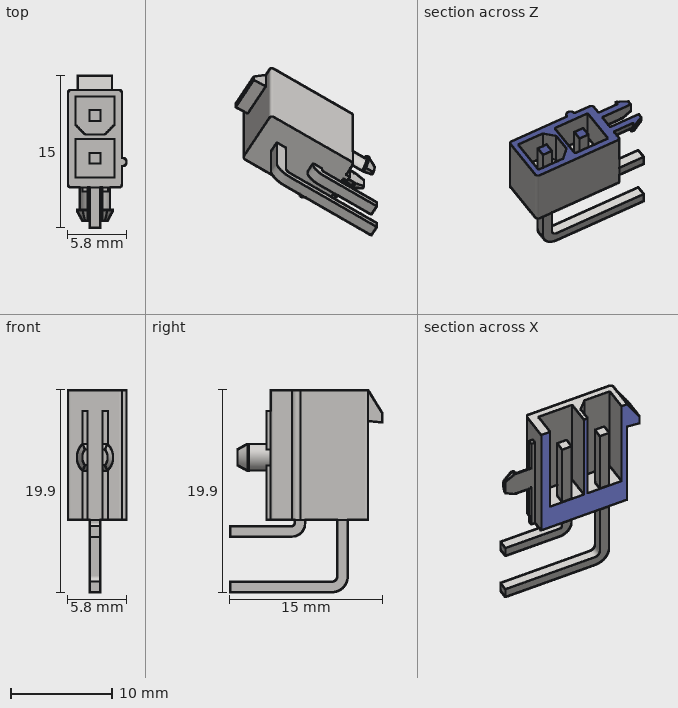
import cadquery as cq


housing_width = 5.35
housing_depth = 9.63
housing_height = 12.78
corner_radius = 0.3

front_contact_y = 2.89
contact_pitch = 4.2
rear_contact_y = front_contact_y + contact_pitch
cavity_width = 3.83
cavity_length = 3.77
cavity_depth = 9.96
key_chamfer = 0.95

pin_size = 1.05
pin_tip_below_top = 2.99
pin_reach = 3.99
front_tail_bottom = -1.67
rear_tail_bottom = -7.15
front_bend_radius = 0.28
rear_bend_radius = 0.54

latch_width = 3.4
latch_reach = 1.4
latch_ramp_drop = 2.25
latch_tip_drop = 3.19
latch_root_drop = 3.05

key_rib_radius = 0.42
key_rib_y = 2.51
key_rib_reach = 0.45

standoff_height = 10.75
standoff_thickness = 0.42
left_standoff_width = 0.48
right_standoff_width = 0.55

peg_slot_width = 1.45
peg_z = 6.15
peg_radius = 1.505
peg_head_radius = 1.8
peg_tip_radius = 1.25
peg_head_start = 2.15
peg_cone_start = 2.3
peg_length = 3.29
peg_half_height = 1.325
peg_tip_half_height = 0.78


def make_housing():
    return (
        cq.Workplane("XY")
        .box(housing_width, housing_depth, housing_height, centered=(True, False, False))
        .edges("|Z")
        .fillet(corner_radius)
    )


def make_cavity(y_center):
    return (
        cq.Workplane("XY", origin=(0, y_center, housing_height - cavity_depth))
        .rect(cavity_width, cavity_length)
        .extrude(cavity_depth)
    )


def make_pin(y_center, tail_bottom, bend_radius):
    """L-shaped pin: vertical contact, rounded bend, horizontal tail toward -Y."""
    front = y_center - pin_size / 2
    rear = y_center + pin_size / 2
    tail_top = tail_bottom + pin_size
    tip = housing_height - pin_tip_below_top
    pin = (
        cq.Workplane("YZ")
        .polyline([
            (-pin_reach, tail_bottom),
            (rear, tail_bottom),
            (rear, tip),
            (front, tip),
            (front, tail_top),
            (-pin_reach, tail_top),
        ])
        .close()
        .extrude(pin_size / 2, both=True)
    )
    inner_corner = cq.selectors.NearestToPointSelector((0, front, tail_top))
    outer_corner = cq.selectors.NearestToPointSelector((0, rear, tail_bottom))
    pin = pin.edges("|X").edges(inner_corner).fillet(bend_radius)
    return pin.edges("|X").edges(outer_corner).fillet(bend_radius + pin_size)


def make_latch():
    tip_y = housing_depth + latch_reach
    return (
        cq.Workplane("YZ")
        .polyline([
            (housing_depth - corner_radius, housing_height),
            (housing_depth, housing_height),
            (tip_y, housing_height - latch_ramp_drop),
            (tip_y, housing_height - latch_tip_drop),
            (housing_depth, housing_height - latch_root_drop),
            (housing_depth - corner_radius, housing_height - latch_root_drop),
        ])
        .close()
        .extrude(latch_width / 2, both=True)
    )


def make_key_rib():
    center_x = housing_width / 2 + key_rib_reach - key_rib_radius
    rib = cq.Workplane("XY", origin=(center_x, key_rib_y, 0)).circle(key_rib_radius).extrude(housing_height)
    root = (
        cq.Workplane("XY", origin=(center_x - key_rib_radius / 2, key_rib_y, 0))
        .rect(key_rib_radius, 2 * key_rib_radius)
        .extrude(housing_height)
    )
    return rib.union(root)


def make_standoff(side, width):
    """Rib beside the peg slot; side is -1 for -X and 1 for +X."""
    center_x = side * (peg_slot_width + width) / 2
    return (
        cq.Workplane("XY", origin=(center_x, -standoff_thickness / 2, 0))
        .rect(width, standoff_thickness)
        .extrude(standoff_height)
    )


def make_peg():
    """Barbed round peg with flats above and below, split by a central slot."""
    turned = (
        cq.Workplane("XY")
        .polyline([
            (0, 0),
            (peg_radius, 0),
            (peg_radius, -peg_head_start),
            (peg_head_radius, -peg_head_start),
            (peg_head_radius, -peg_cone_start),
            (peg_tip_radius, -peg_length),
            (0, -peg_length),
        ])
        .close()
        .revolve(360, (0, 0), (0, 1))
        .translate((0, 0, peg_z))
    )
    head_outline = (
        cq.Workplane("YZ")
        .polyline([
            (0, peg_z + peg_radius),
            (-peg_head_start, peg_z + peg_radius),
            (-peg_head_start, peg_z + peg_half_height),
            (-peg_cone_start, peg_z + peg_half_height),
            (-peg_length, peg_z + peg_tip_half_height),
            (-peg_length, peg_z - peg_tip_half_height),
            (-peg_cone_start, peg_z - peg_half_height),
            (-peg_head_start, peg_z - peg_half_height),
            (-peg_head_start, peg_z - peg_radius),
            (0, peg_z - peg_radius),
        ])
        .close()
        .extrude(peg_head_radius, both=True)
    )
    slot = cq.Workplane("XY", origin=(0, 0, peg_z)).box(peg_slot_width, 2 * peg_length, 2 * peg_head_radius)
    return turned.intersect(head_outline).cut(slot)


front_cavity = make_cavity(front_contact_y)
rear_cavity = make_cavity(rear_contact_y).edges("|Z and <Y").chamfer(key_chamfer)

housing = (
    make_housing()
    .union(make_latch())
    .union(make_key_rib())
    .cut(front_cavity)
    .cut(rear_cavity)
)

result = (
    housing
    .union(make_standoff(-1, left_standoff_width))
    .union(make_standoff(1, right_standoff_width))
    .union(make_peg())
    .union(make_pin(front_contact_y, front_tail_bottom, front_bend_radius))
    .union(make_pin(rear_contact_y, rear_tail_bottom, rear_bend_radius))
)